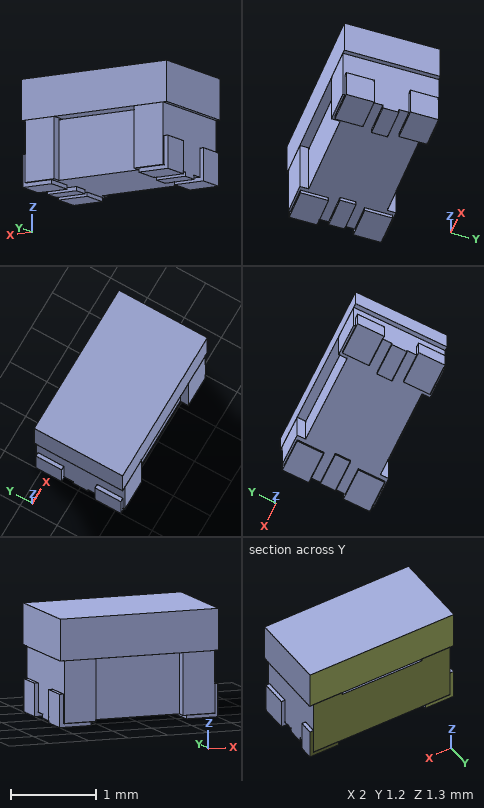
import cadquery as cq

LENGTH = 2.0
WIDTH = 1.2
HEIGHT = 1.3

CAP_THICKNESS = 0.5
CAP_BOTTOM = HEIGHT - CAP_THICKNESS

TERMINAL_THICKNESS = 0.05
TERMINAL_WIDTH = 0.35
TERMINAL_HEIGHT = 0.4
TERMINAL_FOOT_LENGTH = 0.4
TERMINAL_OUTER_SPAN = 1.15
TERMINAL_CENTRE_Y = (TERMINAL_OUTER_SPAN - TERMINAL_WIDTH) / 2

CORE_END_X = LENGTH / 2 - TERMINAL_THICKNESS
CORE_BOTTOM = TERMINAL_THICKNESS
FLANGE_LENGTH = 0.4
FLANGE_INNER_X = CORE_END_X - FLANGE_LENGTH
POST_WIDTH = 0.98
POST_TOP_GAP = 0.02
POST_TOP = CAP_BOTTOM - POST_TOP_GAP
FOOT_WIDTH = 0.2

ENDS = (-1, 1)
SIDES = (-1, 1)


def block(x_start, x_end, width, z_start, z_end):
    """Box between two X positions and two heights, centred on Y."""
    return (
        cq.Workplane("XY")
        .box(x_end - x_start, width, z_end - z_start, centered=(False, True, False))
        .translate((x_start, 0, z_start))
    )


def make_cap():
    """Flat plate resting on the tops of both flanges."""
    return block(-LENGTH / 2, LENGTH / 2, WIDTH, CAP_BOTTOM, HEIGHT)


def make_core():
    """Winding post with a full-width flange and a narrow middle foot at each end."""
    core = block(-FLANGE_INNER_X, FLANGE_INNER_X, POST_WIDTH, CORE_BOTTOM, POST_TOP)
    flange = block(FLANGE_INNER_X, CORE_END_X, WIDTH, CORE_BOTTOM, CAP_BOTTOM)
    foot = block(FLANGE_INNER_X, CORE_END_X, FOOT_WIDTH, 0, CORE_BOTTOM)
    core_end = flange.union(foot)
    return core.union(core_end).union(core_end.mirror("YZ"))


def make_terminal(end, side):
    """L-shaped strip: a foot below the flange and an upright on its end face."""
    outer_x = end * LENGTH / 2
    upright_x = end * CORE_END_X
    foot_x = end * (LENGTH / 2 - TERMINAL_FOOT_LENGTH)
    profile = [
        (outer_x, 0),
        (outer_x, TERMINAL_HEIGHT),
        (upright_x, TERMINAL_HEIGHT),
        (upright_x, TERMINAL_THICKNESS),
        (foot_x, TERMINAL_THICKNESS),
        (foot_x, 0),
    ]
    return (
        cq.Workplane("XZ")
        .polyline(profile)
        .close()
        .extrude(TERMINAL_WIDTH / 2, both=True)
        .translate((0, side * TERMINAL_CENTRE_Y, 0))
    )


cap = make_cap()
core = make_core()
terminals = [make_terminal(end, side).val() for end in ENDS for side in SIDES]

result = cq.Compound.makeCompound([cap.val(), core.val(), *terminals])